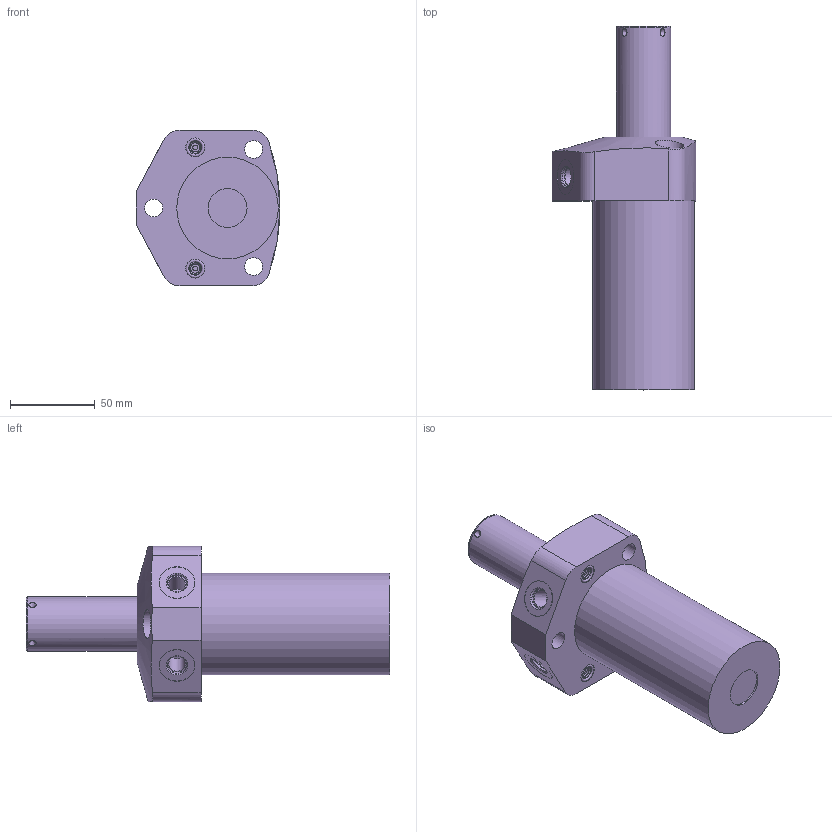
import cadquery as cq
import math

body_diameter = 60.0
body_length = 111.6
end_recess_diameter = 23.0
end_recess_depth = 1.0

rod_diameter = 32.0
rod_length = 65.66
rod_chamfer_length = 1.0
rod_chamfer_inset = 0.3
dimple_diameter = 4.4
dimple_depth = 2.2
dimple_angles = (45, 135, 225, 315)
dimple_setback = 3.8

flange_height = 37.7
flange_width = 91.64
flange_left_reach = 54.0
flange_right_reach = 30.91
left_flat_width = 19.0
left_slope_angle = 62.0
right_arc_radius = 120.0
corner_radius = 10.0
cone_base_radius = 22.8
cone_angle = 15.5

mount_hole_diameter = 10.6
counterbore_diameter = 17.0
counterbore_floor = 18.0
mount_hole_places = [(-43.6, 0.0), (15.4, 34.6), (15.4, -34.6)]

port_offset = 24.5
port_height = 14.2
port_spotface_diameter = 21.0
port_spotface_depth = 0.2
port_mouth_diameter = 12.8
port_throat_diameter = 11.4
port_throat_depth = 2.2
port_bore_diameter = 10.0
port_depth = 18.0

seal_x = -19.1
seal_z = 35.8
seal_outer_radius = 5.6
seal_inner_radius = 3.9
seal_countersink_radius = 3.4
seal_bore_radius = 2.7
seal_bead_clearance = 0.05
seal_bore_depth = 3.0
seal_passage_radius = 1.4
seal_passage_depth = 6.0


def axial_cylinder(diameter, y_start, y_end, x=0.0, z=0.0):
    """Cylinder parallel to Y between two Y positions."""
    base = cq.Workplane("XZ", origin=(x, y_start, z))
    return base.circle(diameter / 2).extrude(y_start - y_end)


def make_flange():
    """Six-sided plate with a bowed right side and a conical front face."""
    half_width = flange_width / 2
    half_flat = left_flat_width / 2
    slope_run = (half_width - half_flat) / math.tan(math.radians(left_slope_angle))
    slope_end_x = slope_run - flange_left_reach
    arc_sag = right_arc_radius - math.sqrt(right_arc_radius**2 - half_width**2)
    arc_end_x = flange_right_reach - arc_sag
    plate = (
        cq.Workplane("XZ")
        .moveTo(-flange_left_reach, -half_flat)
        .lineTo(slope_end_x, -half_width)
        .lineTo(arc_end_x, -half_width)
        .threePointArc((flange_right_reach, 0), (arc_end_x, half_width))
        .lineTo(slope_end_x, half_width)
        .lineTo(-flange_left_reach, half_flat)
        .close()
        .extrude(-flange_height)
    )
    margin = 1.0
    corners = cq.selectors.BoxSelector(
        (slope_end_x - margin, -margin, -half_width - margin),
        (arc_end_x + margin, flange_height + margin, half_width + margin),
    )
    plate = plate.edges("|Y").edges(corners).fillet(corner_radius)

    cone_rim_radius = flange_left_reach + half_width
    cone_drop = (cone_rim_radius - cone_base_radius) * math.tan(math.radians(cone_angle))
    envelope = (
        cq.Workplane("XY")
        .polyline(
            [
                (0, 0),
                (cone_rim_radius, 0),
                (cone_rim_radius, flange_height - cone_drop),
                (cone_base_radius, flange_height),
                (0, flange_height),
            ]
        )
        .close()
        .revolve(360, (0, 0, 0), (0, 1, 0))
    )
    return plate.intersect(envelope)


def make_rod():
    """Plunger with a slightly tapered tip and four conical dimples around it."""
    radius = rod_diameter / 2
    tip = flange_height + rod_length
    rod = (
        cq.Workplane("XY")
        .polyline(
            [
                (0, 0),
                (radius, 0),
                (radius, tip - rod_chamfer_length),
                (radius - rod_chamfer_inset, tip),
                (0, tip),
            ]
        )
        .close()
        .revolve(360, (0, 0, 0), (0, 1, 0))
    )
    for angle in dimple_angles:
        outward = cq.Vector(math.cos(math.radians(angle)), 0, math.sin(math.radians(angle)))
        apex = outward * (radius - dimple_depth) + cq.Vector(0, tip - dimple_setback, 0)
        dimple = cq.Solid.makeCone(0, dimple_diameter, 2 * dimple_depth, apex, outward)
        rod = rod.cut(cq.Workplane(obj=dimple))
    return rod


def make_body():
    """Main cylinder with a shallow round recess in its end."""
    body = axial_cylinder(body_diameter, -body_length, 0)
    recess = axial_cylinder(end_recess_diameter, -body_length, end_recess_depth - body_length)
    return body.cut(recess)


def mount_hole(x, z):
    """Through hole, counterbored from the conical side."""
    hole = axial_cylinder(mount_hole_diameter, 0, flange_height, x, z)
    counterbore = axial_cylinder(counterbore_diameter, counterbore_floor, flange_height, x, z)
    return hole.union(counterbore)


def port(side):
    """Stepped, chamfered blind bore square to one sloping side; side is +1 or -1 along Z."""
    slope = math.radians(left_slope_angle)
    mouth_x = (port_offset - left_flat_width / 2) / math.tan(slope) - flange_left_reach
    inward = (math.sin(slope), 0, -side * math.cos(slope))
    mouth = cq.Plane(origin=(mouth_x, port_height, side * port_offset), xDir=(0, 1, 0), normal=inward)
    chamfer = (port_mouth_diameter - port_throat_diameter) / 2
    spotface = cq.Workplane(mouth).circle(port_spotface_diameter / 2).extrude(port_spotface_depth)
    throat = cq.Workplane(mouth).circle(port_throat_diameter / 2).extrude(port_throat_depth)
    bore = cq.Workplane(mouth).circle(port_bore_diameter / 2).extrude(port_depth)
    countersink = (
        cq.Workplane(mouth)
        .workplane(offset=port_spotface_depth)
        .circle(port_mouth_diameter / 2)
        .workplane(offset=chamfer)
        .circle(port_throat_diameter / 2)
        .loft()
    )
    return spotface.union(countersink).union(throat).union(bore)


def seal_port(z):
    """Seal seat in the mounting face: a round bead around a stepped bore."""
    bead_radius = (seal_outer_radius - seal_inner_radius) / 2
    countersink_depth = seal_countersink_radius - seal_bore_radius
    bead_middle = seal_outer_radius - bead_radius
    return (
        cq.Workplane("XY", origin=(seal_x, 0, z))
        .moveTo(0, 0)
        .lineTo(seal_outer_radius, 0)
        .lineTo(seal_outer_radius, bead_radius)
        .threePointArc((bead_middle, seal_bead_clearance), (seal_inner_radius, bead_radius))
        .lineTo(seal_countersink_radius, bead_radius)
        .lineTo(seal_bore_radius, bead_radius + countersink_depth)
        .lineTo(seal_bore_radius, seal_bore_depth)
        .lineTo(seal_passage_radius, seal_bore_depth)
        .lineTo(seal_passage_radius, seal_passage_depth)
        .lineTo(0, seal_passage_depth)
        .close()
        .revolve(360, (0, 0, 0), (0, 1, 0))
    )


result = make_flange().union(make_rod()).union(make_body())
for hole_x, hole_z in mount_hole_places:
    result = result.cut(mount_hole(hole_x, hole_z))
for side in (1, -1):
    result = result.cut(port(side))
    result = result.cut(seal_port(side * seal_z))